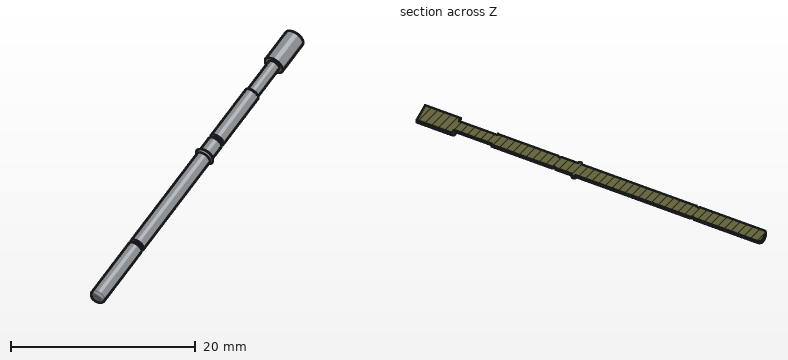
import cadquery as cq

total_length = 40.8

head_diameter = 2.3
head_length = 4.25

plunger_diameter = 1.4
plunger_length = 4.53

barrel_diameter = 1.67
barrel_length = total_length - head_length - plunger_length

groove_width = 0.4
groove_depth = 0.143
front_groove_y = 24.65
rear_groove_y = 8.2

ring_diameter = 2.12
ring_width = 0.45
ring_y = 22.28

tail_rounding = 0.4


def rod(diameter, start_y, length):
    """Round bar along +Y starting at start_y."""
    plane = cq.Workplane("XZ", origin=(0, start_y, 0))
    return plane.circle(diameter / 2).extrude(-length)


def turned(profile):
    """Revolve an XY profile fully about the Y axis."""
    return profile.revolve(360, (0, 0, 0), (0, 1, 0))


def groove(crease_y):
    """V-section ring of material to cut from the barrel surface."""
    surface = barrel_diameter / 2
    return turned(
        cq.Workplane("XY")
        .moveTo(surface, crease_y - groove_width / 2)
        .lineTo(surface - groove_depth, crease_y)
        .lineTo(surface, crease_y + groove_width / 2)
        .close()
    )


def press_ring():
    """Collar of arc section rising from the barrel surface."""
    surface = barrel_diameter / 2
    return turned(
        cq.Workplane("XY")
        .moveTo(0, ring_y - ring_width / 2)
        .lineTo(surface, ring_y - ring_width / 2)
        .threePointArc((ring_diameter / 2, ring_y), (surface, ring_y + ring_width / 2))
        .lineTo(0, ring_y + ring_width / 2)
        .close()
    )


barrel = rod(barrel_diameter, 0, barrel_length).faces("<Y").edges().fillet(tail_rounding)
for groove_y in (front_groove_y, rear_groove_y):
    barrel = barrel.cut(groove(groove_y))
barrel = barrel.union(press_ring())

plunger = rod(plunger_diameter, barrel_length, plunger_length)
head = rod(head_diameter, total_length - head_length, head_length)

result = barrel.union(plunger).union(head)